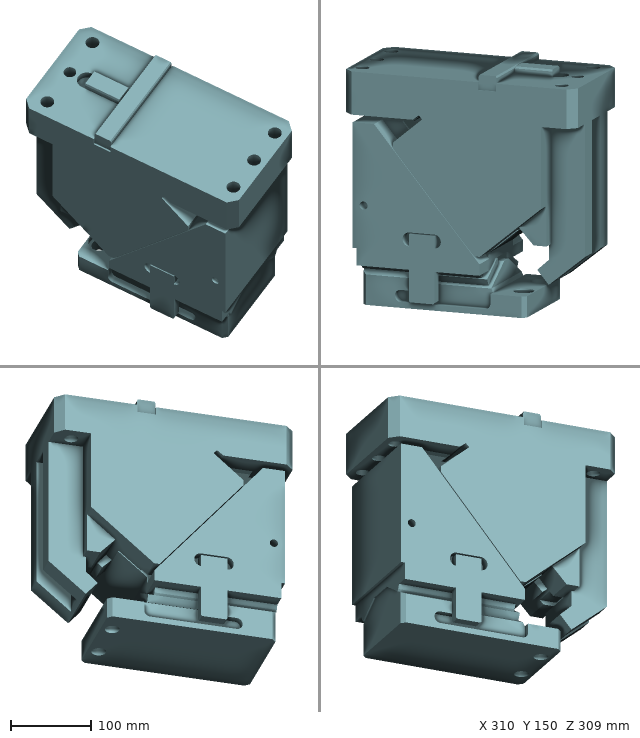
import cadquery as cq
import math

WIDTH = 150.0
HALF_WIDTH = WIDTH / 2
STROKE_ANGLE = 50.0
STROKE_SLOPE = math.tan(math.radians(STROKE_ANGLE))

SLIDER_FRONT = 127.5
SLIDER_BACK = 297.0
SLIDER_HEEL_BACK = 292.0
SLIDER_HEEL_TOP = 74.7
SLIDER_BOTTOM = 52.7
SLIDER_NOSE_TOP = 67.3
SLIDER_TOP = 235.3
KEEL_FRONT = 133.0
KEEL_TOP_HALF = 57.7
KEEL_SHOULDER = (55.0, 46.8)
KEEL_BOTTOM_HALF = 52.7
PIN_HOLE_X = 282.5
PIN_HOLE_Z = 130.0
PIN_HOLE_DIAMETER = 10.5
PIN_HOLE_DEPTH = 15.5
DRILL_POINT_ANGLE = 118.0
STRAP_X = 204.5
STRAP_WIDTH = 34.5
STRAP_THICKNESS = 13.0
STRAP_TOP = 98.3
STRAP_BOTTOM = 11.2
STRAP_CHAMFER = 1.5
STRAP_SLOT_LENGTH = 51.0
STRAP_SLOT_HEIGHT = 18.0
STRAP_SLOT_TOP = 100.5
HEAD_HALF = 46.5
HEAD_CORE_HALF = 43.5
HEAD_FRONT = 231.5

BASE_FRONT = 70.7
BASE_BACK = 290.0
BASE_HALF = 62.0
BASE_CHAMFER = 5.5
FOOT_TOP = 27.3
GUIDE_FRONT = 120.3
ROOF_ANGLE = 30.0
ROOF_SLOPE = math.tan(math.radians(ROOF_ANGLE))
ROOF_EDGE_Z = 39.0
RIDGE_Z = 63.5
LOW_RIDGE_Z = 58.0
PAD_FRONT = 125.2
PAD_THICKNESS = 10.5
PAD_TOP_HALF = 54.0
PAD_INNER_HALF = 16.0
RAMP_LENGTH = 2.5
RAMP_TOP = 32.2
POCKET_HALF = 52.5
POCKET_BOTTOM = 7.5
POCKET_RADIUS = 7.5
SLOT_TOP = 23.0
SLOT_BACK = 245.5
BOLT_X = 85.5
BOLT_Y = 29.8
BOLT_DIAMETER = 18.5
BOLT_HEAD_DIAMETER = 26.5
BOLT_HEAD_DEPTH = 7.8

LENGTH = 310.0
PLATE_TOP = 300.0
PLATE_FRONT_BOTTOM = 249.5
PLATE_BACK_BOTTOM = 245.0
PLATE_CHAMFER = 11.2
HOLE_DIAMETER = 17.5
CENTRE_HOLE_DIAMETER = 15.8
FRONT_HOLE_X = 25.0
FRONT_HOLE_Y = 54.5
BACK_HOLE_X = 293.5
BACK_HOLE_Y = 50.0
BODY_FRONT = 45.0
CHEEK_TOP_Z = 144.5
CHEEK_BOTTOM = 77.0
CHEEK_TIP_X = 126.8
CHEEK_GAP = 1.5
CHEEK_BACK = 242.7
NOTCH_CORNER_Z = 214.0
NOTCH_START_X = 204.0
NOTCH_TIP = (208.5, 251.0)
NOTCH_MOUTH = (216.7, 245.0)
TONGUE_RISE = 4.0
TONGUE_SHOULDER = (89.5, 106.0)
TONGUE_END_Z = 75.0
RIB_TOP_HALF = 46.5
RIB_HALF = 43.5
RIB_SHOULDER_Z = 241.5
RIB_BACK = 263.0
RIB_RAKE = 5.3
TONGUE_HALF = 41.5
GROOVE_HALF = 44.5
GROOVE_DEPTH = 21.7
BLOCK_HALF = 55.8
BLOCK_BOTTOM = 92.7
BLOCK_TOE_X = 62.3
BLOCK_TOP = (81.8, 113.8)
STOP_LOWER_EDGE = ((70.5, 100.8), (77.0, 95.5))
STOP_BACK = (89.3, 108.0)
WINDOW_BACK = 68.2
LEG_INNER = 15.0
LEG_OUTER = 39.5
HOOK_FRONT_Z = 79.5
HOOK_THROAT_X = 48.5
HOOK_TIP = (48.5, 40.0)
HOOK_TOE = (64.0, 58.0)
HOOK_THROAT_Z = 72.0
WINDOW_TOP = 98.0
KEY_TOP = 309.0
KEY_BOTTOM = 290.0
KEY_FRONT = 105.0
KEY_BACK = 129.3
KEY_LENGTH = 145.7
SHORT_KEY_FRONT = 54.2
SHORT_KEY_WIDTH = 24.5
KEY_BEVEL_WIDTH = 1.2
KEY_BEVEL_HEIGHT = 2.5
KEY_SPACING = 1.2
SHORT_KEY_POCKET_FRONT = 37.5


def side_prism(points, half_width):
    """Extrude an X-Z outline symmetrically about Y = 0."""
    return cq.Workplane("XZ").polyline(points).close().extrude(half_width, both=True)


def end_prism(points, x_start, x_end):
    """Extrude a Y-Z outline from x_start to x_end."""
    return cq.Workplane("YZ", origin=(x_start, 0, 0)).polyline(points).close().extrude(x_end - x_start)


def box(x_range, y_range, z_range):
    """Box between the given limits."""
    size = [high - low for low, high in (x_range, y_range, z_range)]
    corner = (x_range[0], y_range[0], z_range[0])
    return cq.Workplane("XY").box(*size, centered=False).translate(corner)


def slide_z(x):
    """Height of the sliding plane at x."""
    return SLIDER_NOSE_TOP + (x - SLIDER_FRONT) * STROKE_SLOPE


def slide_x(z):
    """Position of the sliding plane at height z."""
    return SLIDER_FRONT + (z - SLIDER_NOSE_TOP) / STROKE_SLOPE


def roof_z(y):
    """Height of the base guide roof at distance y from the symmetry plane."""
    return ROOF_EDGE_Z + (BASE_HALF - y) * ROOF_SLOPE


def roof_outline(half_width, edge_z, ridge_z):
    """Y-Z outline of a truncated roof standing on Z = 0."""
    ridge_half = half_width - (ridge_z - edge_z) / ROOF_SLOPE
    return [
        (-half_width, 0),
        (half_width, 0),
        (half_width, edge_z),
        (ridge_half, ridge_z),
        (-ridge_half, ridge_z),
        (-half_width, edge_z),
    ]


def notch_z(x):
    """Height of the floor of the notch behind the cheeks, square to the sliding plane."""
    return NOTCH_CORNER_Z + (CHEEK_BACK - x) / STROKE_SLOPE


def make_base():
    foot = box((BASE_FRONT, BASE_BACK), (-BASE_HALF, BASE_HALF), (0, FOOT_TOP))
    guide = end_prism(roof_outline(BASE_HALF, ROOF_EDGE_Z, RIDGE_Z), GUIDE_FRONT, BASE_BACK)
    base = foot.union(guide).edges("|Z").edges("<X or >X").chamfer(BASE_CHAMFER)

    low_roof = end_prism(roof_outline(POCKET_HALF, RAMP_TOP, LOW_RIDGE_Z), GUIDE_FRONT, STRAP_X)
    pad_shift = PAD_THICKNESS * math.sin(math.radians(ROOF_ANGLE))
    pad_drop = PAD_THICKNESS * math.cos(math.radians(ROOF_ANGLE))
    pad_edge = (PAD_TOP_HALF - pad_shift, roof_z(PAD_TOP_HALF) - pad_drop)
    ridge_half = BASE_HALF - (RIDGE_Z - ROOF_EDGE_Z) / ROOF_SLOPE
    pad_outline = [
        pad_edge,
        (PAD_TOP_HALF, roof_z(PAD_TOP_HALF)),
        (ridge_half, RIDGE_Z),
        (PAD_INNER_HALF, RIDGE_Z),
        (PAD_INNER_HALF, roof_z(PAD_INNER_HALF) - PAD_THICKNESS / math.cos(math.radians(ROOF_ANGLE))),
    ]
    pad = end_prism(pad_outline, PAD_FRONT, STRAP_X)
    pads = pad.union(pad.mirror("XZ"))
    pocket_front = GUIDE_FRONT - RAMP_LENGTH
    clearing = (
        box((pocket_front, STRAP_X), (-BASE_HALF, BASE_HALF), (POCKET_BOTTOM, RIDGE_Z))
        .edges("|Y and <X and <Z")
        .fillet(POCKET_RADIUS)
    )
    ramp = side_prism(
        [
            (pocket_front, 0),
            (GUIDE_FRONT, 0),
            (GUIDE_FRONT, RAMP_TOP),
            (pocket_front, FOOT_TOP),
        ],
        POCKET_HALF,
    )
    base = base.cut(clearing.cut(low_roof).cut(pads)).union(ramp)

    slot_height = SLOT_TOP - POCKET_BOTTOM
    slot_z = POCKET_BOTTOM + slot_height / 2
    slot_length = 2 * (SLOT_BACK - STRAP_X)
    for side in (-1, 1):
        slot = (
            cq.Workplane("XZ", origin=(STRAP_X, 0, slot_z))
            .slot2D(slot_length, slot_height)
            .extrude(-side * (BASE_HALF - POCKET_HALF))
            .translate((0, side * POCKET_HALF, 0))
        )
        base = base.cut(slot)
    for side in (-1, 1):
        bolt_top = cq.Workplane("XY", origin=(BOLT_X, side * BOLT_Y, FOOT_TOP))
        base = base.cut(bolt_top.circle(BOLT_DIAMETER / 2).extrude(-FOOT_TOP))
        base = base.cut(bolt_top.circle(BOLT_HEAD_DIAMETER / 2).extrude(-BOLT_HEAD_DEPTH))
    return base


def make_slider():
    wedge = side_prism(
        [
            (SLIDER_FRONT, SLIDER_BOTTOM),
            (SLIDER_HEEL_BACK, SLIDER_BOTTOM),
            (SLIDER_HEEL_BACK, SLIDER_HEEL_TOP),
            (SLIDER_BACK, SLIDER_HEEL_TOP),
            (SLIDER_BACK, SLIDER_TOP),
            (slide_x(SLIDER_TOP), SLIDER_TOP),
            (SLIDER_FRONT, SLIDER_NOSE_TOP),
        ],
        HALF_WIDTH,
    )
    core_front = CHEEK_BACK - (SLIDER_TOP - NOTCH_CORNER_Z) * STROKE_SLOPE
    core = side_prism(
        [
            (CHEEK_BACK, slide_z(CHEEK_BACK)),
            (slide_x(SLIDER_TOP), SLIDER_TOP),
            (core_front, SLIDER_TOP),
            (CHEEK_BACK, NOTCH_CORNER_Z),
        ],
        HEAD_CORE_HALF,
    )
    head_z = notch_z(HEAD_FRONT)
    head = side_prism(
        [
            (CHEEK_BACK, slide_z(CHEEK_BACK)),
            (slide_x(SLIDER_TOP), SLIDER_TOP),
            (HEAD_FRONT + (SLIDER_TOP - head_z) / STROKE_SLOPE, SLIDER_TOP),
            (HEAD_FRONT, head_z),
            (CHEEK_BACK, NOTCH_CORNER_Z),
        ],
        HEAD_HALF,
    )
    keel_bottom = roof_z(KEEL_BOTTOM_HALF)
    shoulder_half, shoulder_z = KEEL_SHOULDER
    keel = end_prism(
        [
            (-KEEL_TOP_HALF, SLIDER_BOTTOM),
            (-shoulder_half, shoulder_z),
            (-KEEL_BOTTOM_HALF, keel_bottom),
            (KEEL_BOTTOM_HALF, keel_bottom),
            (shoulder_half, shoulder_z),
            (KEEL_TOP_HALF, SLIDER_BOTTOM),
        ],
        KEEL_FRONT,
        SLIDER_HEEL_BACK,
    )
    roof_channel = end_prism(roof_outline(BASE_HALF, ROOF_EDGE_Z, RIDGE_Z), SLIDER_FRONT, SLIDER_BACK)
    slider = wedge.union(core).union(head).union(keel).cut(roof_channel).cut(make_tongue())

    strap_inner = HALF_WIDTH - STRAP_THICKNESS
    for side in (-1, 1):
        slot = (
            cq.Workplane("XZ", origin=(STRAP_X, side * strap_inner, STRAP_SLOT_TOP - STRAP_SLOT_HEIGHT / 2))
            .slot2D(STRAP_SLOT_LENGTH, STRAP_SLOT_HEIGHT)
            .extrude(-side * STRAP_THICKNESS)
        )
        strap_centre = (STRAP_X, side * (strap_inner + STRAP_THICKNESS / 2), (STRAP_TOP + STRAP_BOTTOM) / 2)
        strap = cq.Workplane("XY").box(STRAP_WIDTH, STRAP_THICKNESS, STRAP_TOP - STRAP_BOTTOM)
        strap = strap.translate(strap_centre).faces("<Z").edges("|Y").chamfer(STRAP_CHAMFER)
        drill_radius = PIN_HOLE_DIAMETER / 2
        drill_tip = PIN_HOLE_DEPTH + drill_radius / math.tan(math.radians(DRILL_POINT_ANGLE / 2))
        pin_hole = cq.Workplane("XY").polyline(
            [
                (0, 0),
                (drill_radius, 0),
                (drill_radius, PIN_HOLE_DEPTH),
                (0, drill_tip),
            ]
        )
        pin_hole = pin_hole.close().revolve(360, (0, 0, 0), (0, 1, 0))
        if side > 0:
            pin_hole = pin_hole.mirror("XZ")
        pin_hole = pin_hole.translate((PIN_HOLE_X, side * HALF_WIDTH, PIN_HOLE_Z))
        slider = slider.cut(slot).union(strap).cut(pin_hole)
    return slider


def make_plate():
    plate = side_prism(
        [
            (0, PLATE_TOP),
            (0, PLATE_FRONT_BOTTOM),
            (CHEEK_BACK / 2, PLATE_FRONT_BOTTOM),
            (CHEEK_BACK / 2, PLATE_BACK_BOTTOM),
            (LENGTH, PLATE_BACK_BOTTOM),
            (LENGTH, PLATE_TOP),
        ],
        HALF_WIDTH,
    )
    plate = plate.edges("|Z").edges("<X or >X").chamfer(PLATE_CHAMFER)
    outer_holes = [
        (x, side * y)
        for x, y in ((FRONT_HOLE_X, FRONT_HOLE_Y), (BACK_HOLE_X, BACK_HOLE_Y))
        for side in (-1, 1)
    ]
    outer_holes.append((BACK_HOLE_X, 0))
    top = cq.Workplane("XY", origin=(0, 0, PLATE_TOP))
    holes = top.pushPoints(outer_holes).circle(HOLE_DIAMETER / 2).extrude(PLATE_BACK_BOTTOM - PLATE_TOP)
    centre_hole = top.center(FRONT_HOLE_X, 0).circle(CENTRE_HOLE_DIAMETER / 2)
    return plate.cut(holes).cut(centre_hole.extrude(PLATE_BACK_BOTTOM - PLATE_TOP))


def make_cheeks():
    return side_prism(
        [
            (BODY_FRONT, PLATE_FRONT_BOTTOM),
            (BODY_FRONT, CHEEK_TOP_Z),
            (CHEEK_TIP_X, CHEEK_BOTTOM),
            (slide_x(CHEEK_BOTTOM) - CHEEK_GAP, CHEEK_BOTTOM),
            (CHEEK_BACK, slide_z(CHEEK_BACK + CHEEK_GAP)),
            (CHEEK_BACK, NOTCH_CORNER_Z),
            (NOTCH_START_X, notch_z(NOTCH_START_X)),
            (NOTCH_START_X, PLATE_TOP),
            (BODY_FRONT, PLATE_TOP),
        ],
        HALF_WIDTH,
    )


def make_tongue():
    """Central guide tongue lying on the sliding plane, standing proud of the notch floor."""
    return side_prism(
        [
            (SLIDER_FRONT, SLIDER_NOSE_TOP),
            (CHEEK_BACK, slide_z(CHEEK_BACK)),
            (CHEEK_BACK, NOTCH_CORNER_Z + TONGUE_RISE),
            (NOTCH_START_X, notch_z(NOTCH_START_X) + TONGUE_RISE),
            TONGUE_SHOULDER,
            (SLIDER_FRONT, TONGUE_END_Z),
        ],
        TONGUE_HALF,
    )


def make_rib():
    """Tapered rib under the plate, reaching down to the slider."""
    outline = side_prism(
        [
            NOTCH_MOUTH,
            (RIB_BACK, PLATE_BACK_BOTTOM),
            (RIB_BACK - RIB_RAKE, SLIDER_TOP),
            (NOTCH_MOUTH[0] + (PLATE_BACK_BOTTOM - SLIDER_TOP) * STROKE_SLOPE, SLIDER_TOP),
        ],
        RIB_TOP_HALF,
    )
    section = end_prism(
        [
            (-RIB_TOP_HALF, PLATE_BACK_BOTTOM),
            (-RIB_HALF, RIB_SHOULDER_Z),
            (-RIB_HALF, SLIDER_TOP),
            (RIB_HALF, SLIDER_TOP),
            (RIB_HALF, RIB_SHOULDER_Z),
            (RIB_TOP_HALF, PLATE_BACK_BOTTOM),
        ],
        NOTCH_MOUTH[0],
        RIB_BACK,
    )
    return outline.intersect(section)


def make_legs():
    hook = [
        (HOOK_THROAT_X, BLOCK_BOTTOM),
        (HOOK_THROAT_X, HOOK_THROAT_Z),
        HOOK_TOE,
        HOOK_TIP,
    ]
    leg = [(0, PLATE_FRONT_BOTTOM), (BODY_FRONT, PLATE_FRONT_BOTTOM), (BODY_FRONT, BLOCK_BOTTOM)]
    legs = side_prism([*leg, *hook, (0, HOOK_FRONT_Z)], LEG_OUTER)
    channel = box((0, BODY_FRONT), (-LEG_INNER, LEG_INNER), (0, PLATE_FRONT_BOTTOM))
    return legs.cut(channel)


def make_block():
    block = side_prism(
        [
            (BODY_FRONT, PLATE_FRONT_BOTTOM),
            (BODY_FRONT, BLOCK_BOTTOM),
            (BLOCK_TOE_X, BLOCK_BOTTOM),
            BLOCK_TOP,
        ],
        BLOCK_HALF,
    )
    stop = side_prism([BLOCK_TOP, *STOP_LOWER_EDGE, STOP_BACK], LEG_INNER)
    window = box((BODY_FRONT, WINDOW_BACK), (-LEG_INNER, LEG_INNER), (BLOCK_BOTTOM, WINDOW_TOP))
    return block.cut(window).union(stop)


def key_outline(start, end):
    """Cross-section of a key with bevelled upper edges."""
    bevel_z = KEY_TOP - KEY_BEVEL_HEIGHT
    return [
        (start, KEY_BOTTOM),
        (end, KEY_BOTTOM),
        (end, bevel_z),
        (end - KEY_BEVEL_WIDTH, KEY_TOP),
        (start + KEY_BEVEL_WIDTH, KEY_TOP),
        (start, bevel_z),
    ]


def make_holder():
    holder = make_plate().union(make_cheeks())
    notch = side_prism(
        [(NOTCH_START_X, notch_z(NOTCH_START_X)), NOTCH_TIP, NOTCH_MOUTH, (CHEEK_BACK, NOTCH_CORNER_Z)],
        HALF_WIDTH,
    )
    holder = holder.cut(notch).union(make_tongue()).union(make_rib()).union(make_legs()).union(make_block())

    groove = [
        (SLIDER_FRONT - GROOVE_DEPTH, SLIDER_NOSE_TOP),
        (SLIDER_FRONT, SLIDER_NOSE_TOP),
        (CHEEK_BACK, slide_z(CHEEK_BACK)),
        (CHEEK_BACK - GROOVE_DEPTH, slide_z(CHEEK_BACK)),
    ]
    holder = holder.cut(side_prism(groove, GROOVE_HALF).cut(side_prism(groove, TONGUE_HALF)))

    key_seat = box((KEY_FRONT, KEY_BACK), (-HALF_WIDTH, HALF_WIDTH), (KEY_BOTTOM, PLATE_TOP))
    key = side_prism(key_outline(KEY_FRONT, KEY_BACK), KEY_LENGTH / 2)
    short_half = SHORT_KEY_WIDTH / 2
    seat_centre = SHORT_KEY_POCKET_FRONT + short_half
    short_seat = box((seat_centre, KEY_FRONT), (-short_half, short_half), (KEY_BOTTOM, PLATE_TOP))
    seat_end = cq.Workplane("XY", origin=(seat_centre, 0, KEY_BOTTOM)).circle(short_half)
    short_seat = short_seat.union(seat_end.extrude(PLATE_TOP - KEY_BOTTOM))
    short_key = end_prism(key_outline(-short_half, short_half), SHORT_KEY_FRONT, KEY_FRONT - KEY_SPACING)
    return holder.cut(key_seat).cut(short_seat).union(key).union(short_key)


holder = make_holder()
slider = make_slider()
base = make_base()

result = cq.Compound.makeCompound([holder.val(), slider.val(), base.val()])